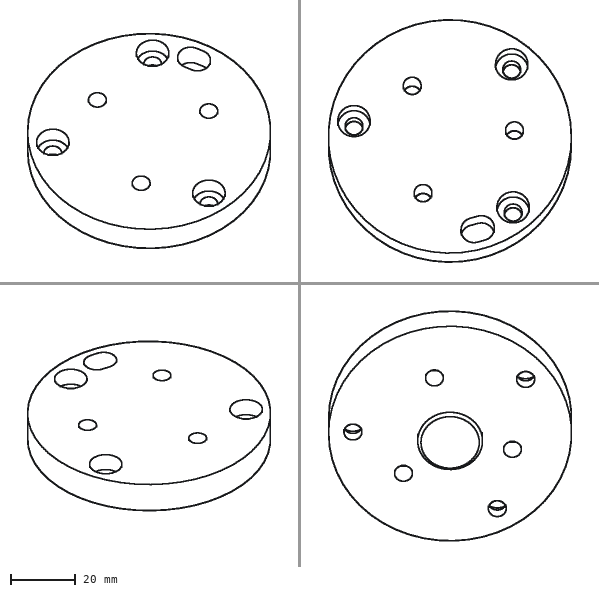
import cadquery as cq
import math

disc_diameter = 75.0
disc_thickness = 10.0

spigot_diameter = 20.0
spigot_height = 5.8
spigot_chamfer = 1.0
spigot_root_fillet = 0.5

hole_diameter = 5.5
plain_circle_radius = 20.0
plain_angles = (90.0, 210.0, 330.0)

counterbore_diameter = 10.0
counterbore_depth = 5.7
counterbore_circle_radius = 30.0
counterbore_angles = (15.0, 155.0, 255.0)

slot_width = 8.0
slot_length = 10.4
slot_depth = 8.0
slot_radius = 31.0
slot_angle = 130.5
slot_tilt = slot_angle - 90.0


def polar(radius, angle):
    """Point at a radius and an angle in degrees about the disc axis."""
    return (
        radius * math.cos(math.radians(angle)),
        radius * math.sin(math.radians(angle)),
    )


def make_disc():
    """Disc with its lower face at Z = 0."""
    return cq.Workplane("XY").circle(disc_diameter / 2).extrude(disc_thickness)


def add_spigot(body):
    """Spigot below the disc, chamfered at its tip and filleted at its root."""
    spigot = (
        cq.Workplane("XY")
        .circle(spigot_diameter / 2)
        .extrude(-spigot_height)
        .faces("<Z")
        .chamfer(spigot_chamfer)
    )
    root_edge = cq.selectors.RadiusNthSelector(0)
    return body.union(spigot).faces("<Z[-2]").edges(root_edge).fillet(spigot_root_fillet)


def top_workplane(body):
    """Workplane on the top face, centred on the disc axis."""
    return body.faces(">Z").workplane(origin=(0, 0, 0))


def cut_plain_holes(body):
    """Ring of plain holes through the disc."""
    centres = [polar(plain_circle_radius, angle) for angle in plain_angles]
    return top_workplane(body).pushPoints(centres).hole(hole_diameter, disc_thickness)


def cut_counterbored_holes(body):
    """Ring of through holes counterbored from the top."""
    centres = [polar(counterbore_circle_radius, angle) for angle in counterbore_angles]
    return (
        top_workplane(body)
        .pushPoints(centres)
        .cboreHole(hole_diameter, counterbore_diameter, counterbore_depth, disc_thickness)
    )


def cut_slot(body):
    """Blind slot in the top, its length square to the radius through its centre."""
    return (
        top_workplane(body)
        .pushPoints([polar(slot_radius, slot_angle)])
        .slot2D(slot_length, slot_width, slot_tilt)
        .cutBlind(-slot_depth)
    )


result = make_disc()
result = add_spigot(result)
result = cut_plain_holes(result)
result = cut_counterbored_holes(result)
result = cut_slot(result)